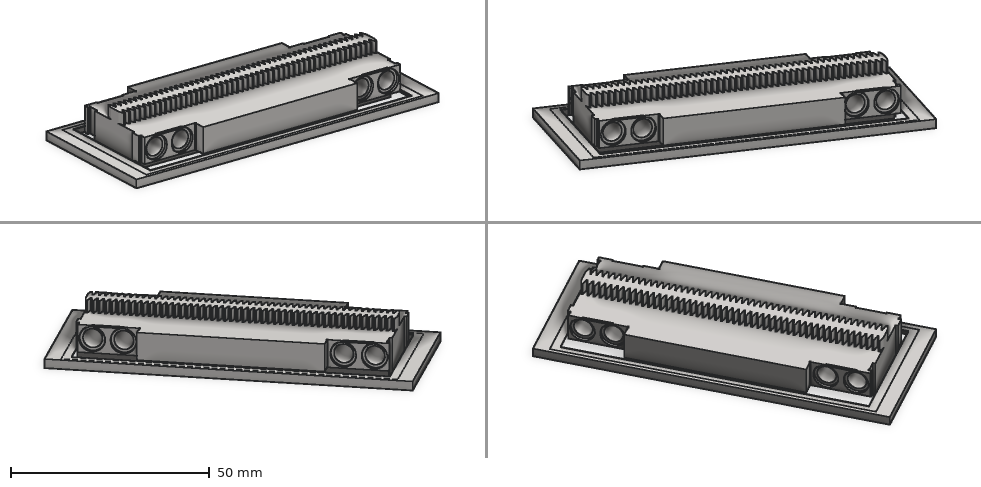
import cadquery as cq
frame_width = 38.4
frame_length = 94.2
frame_height = 2.45
frame_top_thickness = 0.2
opening_width = 32.8
opening_length = 81.4
cavity_width = 35.8
cavity_length = 86.1

foot_bottom = 0
foot_width = 19.0
block_bottom = 2.5
block_top = 9.9
body_width = 25.4
body_length = 79.7
wing_width = 32.1
wing_length = 48.0
corner_relief_radius = 0.2

tab_inner_x = 8.4
tab_outer_x = 11.2
tab_length = 0.7
socket_outer_x = 11.4
socket_depth = 0.7

hole_diameter = 5.0
counterbore_diameter = 6.6
counterbore_depth = 0.85
hole_spacing = 8.0
hole_pair_y = 32.1
hole_z = (block_bottom + block_top) / 2
notch_depth = 0.4

rack_top = 13.2
rack_width = 6.7
root_width = 2.8
tooth_count = 50
tooth_pitch = 1.6
gap_width_at_tip = 1.2
gap_width_at_root = 0.3


def box(width, length, bottom, top):
    """A box centred on the Z axis between two heights."""
    return cq.Workplane("XY").workplane(offset=bottom).rect(width, length).extrude(top - bottom)


def make_frame():
    frame = box(frame_width, frame_length, 0, frame_height)
    cavity = box(cavity_width, cavity_length, 0, frame_height - frame_top_thickness)
    opening = box(opening_width, opening_length, 0, frame_height)
    return frame.cut(cavity).cut(opening)


def upright_box(x_min, x_max, y_min, y_max):
    """A box as high as the block, between plan coordinates."""
    middle = ((x_min + x_max) / 2, (y_min + y_max) / 2, 0)
    return box(x_max - x_min, y_max - y_min, foot_bottom, block_top).translate(middle)


def half_turn_pair(shape):
    """The shape together with its copy turned half a turn about Z."""
    return shape.union(shape.rotate((0, 0, 0), (0, 0, 1), 180))


def make_corner_reliefs():
    """Upright cylinders that relieve the inner corners at the wings, tabs and sockets."""
    body_end = body_length / 2
    points = [(side * body_width / 2, end * wing_length / 2) for side in (-1, 1) for end in (-1, 1)]
    for end in (-1, 1):
        points.append((-end * tab_outer_x, end * body_end))
        points.append((end * socket_outer_x, end * (body_end - socket_depth)))
    base = cq.Workplane("XY").workplane(offset=foot_bottom)
    return base.pushPoints(points).circle(corner_relief_radius).extrude(block_top - foot_bottom)


def make_block_body():
    """The stepped outline at full height, narrowed to the foot below the block."""
    body = box(body_width, body_length, foot_bottom, block_top)
    wings = box(wing_width, wing_length, foot_bottom, block_top)
    body_end = body_length / 2
    tab = upright_box(tab_inner_x, tab_outer_x, -body_end - tab_length, -body_end)
    socket = upright_box(-socket_outer_x, -tab_inner_x, -body_end, -body_end + socket_depth)
    around_foot = box(frame_width, frame_length, foot_bottom, block_bottom).cut(
        box(foot_width, frame_length, foot_bottom, block_bottom)
    )
    body = body.union(wings).union(half_turn_pair(tab))
    return body.cut(half_turn_pair(socket)).cut(make_corner_reliefs()).cut(around_foot)


def cut_cross_holes(block):
    """Holes through the width of the body, counterbored on both sides."""
    seat_floor = body_width / 2 - counterbore_depth
    for end in (-1, 1):
        for offset in (-hole_spacing / 2, hole_spacing / 2):
            hole_y = end * hole_pair_y + offset
            hole_plane = cq.Workplane("YZ").center(hole_y, hole_z)
            block = block.cut(hole_plane.circle(hole_diameter / 2).extrude(body_width / 2, both=True))
            for side in (-1, 1):
                seat_plane = cq.Workplane("YZ", origin=(side * seat_floor, hole_y, hole_z))
                seat = seat_plane.circle(counterbore_diameter / 2).extrude(side * counterbore_depth)
                block = block.cut(seat)
    return block


def cut_edge_notches(block):
    """Shallow notches along the top edges, between the holes of each pair."""
    notch_floor = hole_z + counterbore_diameter / 2
    notch_x = (body_width - notch_depth) / 2
    for side in (-1, 1):
        for end in (-1, 1):
            notch = box(notch_depth, hole_spacing, notch_floor, block_top)
            block = block.cut(notch.translate((side * notch_x, end * hole_pair_y, 0)))
    return block


def rack_outline():
    """Points of the rack outline, with half a gap at each end of the row of teeth."""
    half_gap_at_root = gap_width_at_root / 2
    half_gap_at_tip = gap_width_at_tip / 2
    right_side = []
    for tooth in range(tooth_count):
        start = (tooth - tooth_count / 2) * tooth_pitch
        end = start + tooth_pitch
        right_side.append((root_width / 2, start + half_gap_at_root))
        right_side.append((rack_width / 2, start + half_gap_at_tip))
        right_side.append((rack_width / 2, end - half_gap_at_tip))
        right_side.append((root_width / 2, end - half_gap_at_root))
    left_side = [(-x, y) for x, y in reversed(right_side)]
    return right_side + left_side


def make_rack():
    """The row of teeth, trimmed to the length of the body."""
    teeth = (
        cq.Workplane("XY")
        .workplane(offset=block_top)
        .polyline(rack_outline())
        .close()
        .extrude(rack_top - block_top)
    )
    return teeth.intersect(box(rack_width, body_length, block_top, rack_top))


def make_block():
    block = cut_edge_notches(cut_cross_holes(make_block_body()))
    return block.union(make_rack())


frame = make_frame()
block = make_block()

result = cq.Compound.makeCompound([frame.val(), block.val()])